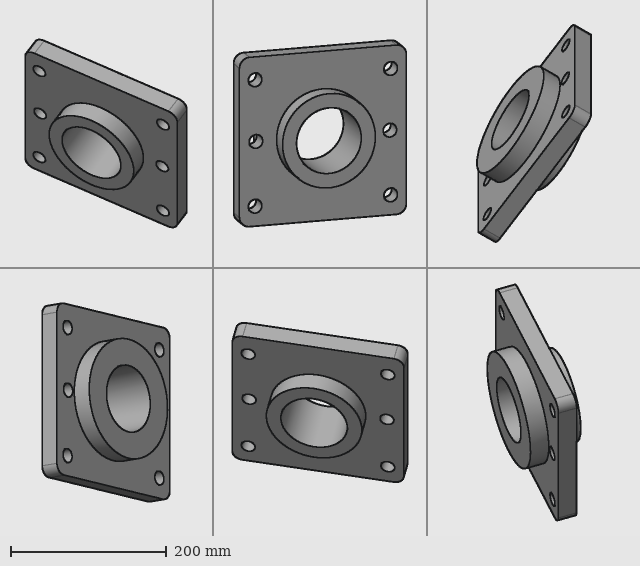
import cadquery as cq

plate_side = 225.0
layer_thickness = 225.0 / 9
corner_radius = 13.5

front_boss_diameter = 125.0
rear_boss_diameter = 156.0
bore_diameter = 87.0

bolt_hole_diameter = 18.0
outer_row_x = 91.4
middle_row_x = 90.2
top_row_z = 82.0
bottom_row_z = -86.0

front_face_y = -1.5 * layer_thickness
plate_front_y = front_face_y + layer_thickness
plate_rear_y = plate_front_y + layer_thickness
total_depth = 3 * layer_thickness


def cylinder_along_y(diameter, start_y, length, x=0, z=0):
    """Solid cylinder running from start_y towards +Y."""
    return cq.Workplane(
        cq.Solid.makeCylinder(diameter / 2, length, cq.Vector(x, start_y, z), cq.Vector(0, 1, 0))
    )


plate = cq.Workplane("XY").box(plate_side, layer_thickness, plate_side)
plate = plate.edges("|Y").fillet(corner_radius)

front_boss = cylinder_along_y(front_boss_diameter, front_face_y, layer_thickness)
rear_boss = cylinder_along_y(rear_boss_diameter, plate_rear_y, layer_thickness)
result = plate.union(front_boss).union(rear_boss)

result = result.cut(cylinder_along_y(bore_diameter, front_face_y, total_depth))

bolt_rows = [
    (outer_row_x, top_row_z),
    (middle_row_x, 0),
    (outer_row_x, bottom_row_z),
]
for row_x, row_z in bolt_rows:
    for side in (-1, 1):
        hole = cylinder_along_y(bolt_hole_diameter, plate_front_y, layer_thickness, side * row_x, row_z)
        result = result.cut(hole)